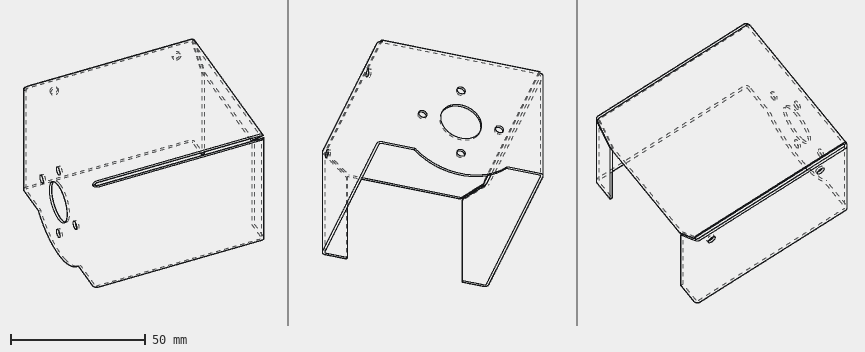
import cadquery as cq

width = 65.0
length = 70.0
total_height = 57.5
wall_height = 49.8

thickness = 1.0
bend_radius = 1.7
inner_radius = bend_radius - thickness

tongue_radius = 25.0
bore_diameter = 15.95
bolt_circle_diameter = 29.95
screw_diameter = 3.2
bore_z = tongue_radius - total_height

side_hole_inset = 7.1
side_hole_spacing = 50.0

flange_width = 10.0
miter_gap = 0.85

inner_width = width - 2 * thickness
inner_length = length - 2 * thickness
half_flat = width / 2 - bend_radius


def box(x_size, y_size, z_size, x_min, y_min, z_min):
    return cq.Workplane("XY").box(x_size, y_size, z_size, centered=False).translate((x_min, y_min, z_min))


def side_walls():
    """Left, right and front walls with the back side flanges, bent round the upright edges."""
    height = wall_height - bend_radius
    outer = box(width, length, height, -width / 2, 0, -wall_height)
    outer = outer.edges("|Z").fillet(bend_radius)
    inner = box(inner_width, inner_length, height, -inner_width / 2, thickness, -wall_height)
    inner = inner.edges("|Z").fillet(inner_radius)
    opening_width = width - 2 * flange_width
    opening = box(opening_width, length / 2, height, -opening_width / 2, length / 2, -wall_height)
    return outer.cut(inner).cut(opening)


def top_wall():
    """Top plate bent down into the front wall and into the back top flange."""
    flat_width = 2 * half_flat
    outer = box(flat_width, length, flange_width, -half_flat, 0, -flange_width)
    outer = outer.edges("|X and >Z").fillet(bend_radius)
    inner_height = flange_width - thickness
    inner = box(flat_width, inner_length, inner_height, -half_flat, thickness, -flange_width)
    inner = inner.edges("|X and >Z").fillet(inner_radius)
    return outer.cut(inner)


def front_plate(sketch):
    """Extrude a sketch on the front face through the sheet thickness."""
    return sketch.extrude(-thickness)


def tongue():
    """Round tongue, concentric with the bore, below the front wall."""
    return front_plate(cq.Workplane("XZ").center(0, bore_z).circle(tongue_radius))


def front_holes():
    """Central bore and its four surrounding screw holes."""
    plane = cq.Workplane("XZ").center(0, bore_z)
    bore = front_plate(plane.circle(bore_diameter / 2))
    screws = plane.polarArray(bolt_circle_diameter / 2, 0, 360, 4).circle(screw_diameter / 2)
    return bore.union(front_plate(screws))


def left_wall_holes():
    """Two screw holes through the left wall."""
    rear_y = length - side_hole_inset
    points = [(y, -side_hole_inset) for y in (rear_y - side_hole_spacing, rear_y)]
    plane = cq.Workplane("YZ", origin=(-width / 2, 0, 0))
    return plane.pushPoints(points).circle(screw_diameter / 2).extrude(thickness)


def miter_slit(side):
    """45 degree slit at a back upper corner; side is -1 for left, 1 for right."""
    slit_length = 4 * flange_width
    slit = cq.Workplane("XY").box(slit_length, bend_radius, miter_gap)
    slit = slit.rotate((0, 0, 0), (0, 1, 0), -45 * side)
    return slit.translate((side * width / 2, length - bend_radius / 2, 0))


result = side_walls().union(top_wall()).union(tongue())
result = result.cut(front_holes()).cut(left_wall_holes())
for side in (-1, 1):
    result = result.cut(miter_slit(side))